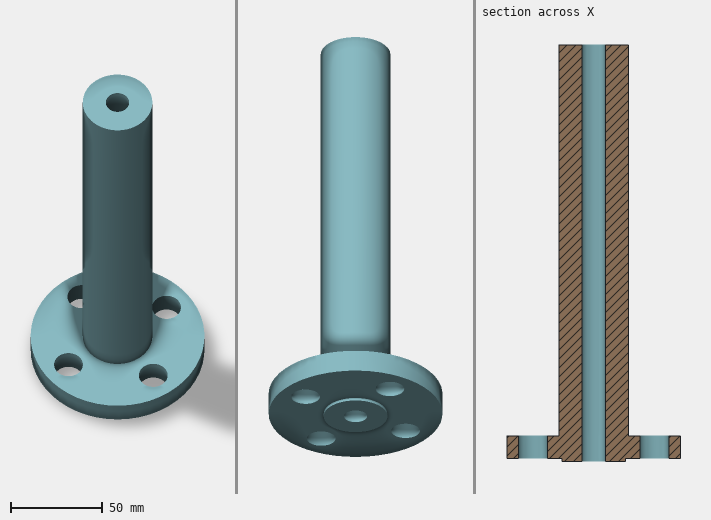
import cadquery as cq

total_height = 228.5

flange_diameter = 95.3
flange_thickness = 12.5
raised_face_diameter = 35.0
raised_face_height = 1.5
flange_top = raised_face_height + flange_thickness

stem_diameter = 38.2
bore_diameter = 12.8

bolt_hole_diameter = 15.8
bolt_circle_diameter = 66.5
bolt_hole_count = 4


def cylinder(diameter, bottom, top):
    """Solid cylinder on the Z axis between two heights."""
    return cq.Workplane("XY").workplane(offset=bottom).circle(diameter / 2).extrude(top - bottom)


def bolt_holes():
    """Cutters for the ring of bolt holes through the flange."""
    return (
        cq.Workplane("XY")
        .polarArray(bolt_circle_diameter / 2, 0, 360, bolt_hole_count)
        .circle(bolt_hole_diameter / 2)
        .extrude(flange_top)
    )


raised_face = cylinder(raised_face_diameter, 0, raised_face_height)
flange = cylinder(flange_diameter, raised_face_height, flange_top).cut(bolt_holes())
stem = cylinder(stem_diameter, flange_top, total_height)
bore = cylinder(bore_diameter, 0, total_height)

result = raised_face.union(flange).union(stem).cut(bore)